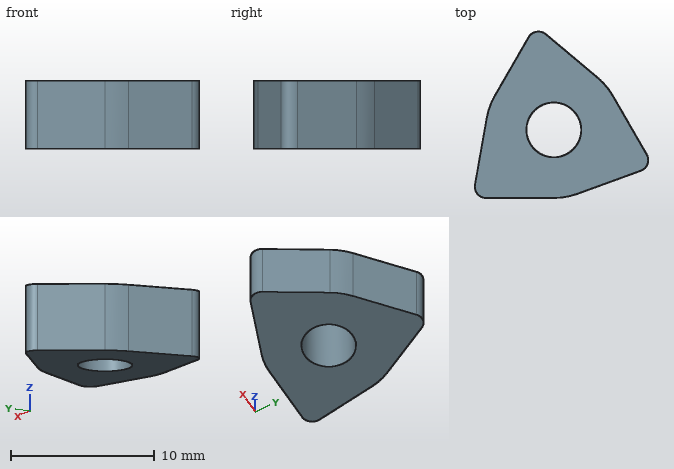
import cadquery as cq
import math

inscribed_diameter = 9.525
thickness = 4.76
hole_diameter = 3.81
nose_radius = 0.8
nose_angle = 80.0
corner_count = 3
first_flank_normal = -90.0

inscribed_radius = inscribed_diameter / 2
corner_pitch = 360.0 / corner_count
flank_turn = 180.0 - nose_angle
waist_turn = corner_pitch - flank_turn
nose_center_distance = (inscribed_radius - nose_radius) / math.cos(math.radians(flank_turn / 2))


def polar(distance, angle):
    """Point at the given distance and angle (degrees) from the insert centre."""
    return (
        distance * math.cos(math.radians(angle)),
        distance * math.sin(math.radians(angle)),
    )


def nose_point(nose_direction, facing):
    """Point on a nose arc where its surface faces the given direction."""
    center_x, center_y = polar(nose_center_distance, nose_direction)
    offset_x, offset_y = polar(nose_radius, facing)
    return (center_x + offset_x, center_y + offset_y)


def insert_outline():
    """Counter-clockwise outline of waist arcs, flanks and rounded noses."""
    outline = cq.Workplane("XY").moveTo(*polar(inscribed_radius, first_flank_normal))
    for index in range(corner_count):
        waist_start = first_flank_normal + index * corner_pitch
        waist_end = waist_start + waist_turn
        next_waist_start = waist_start + corner_pitch
        nose_direction = waist_end + flank_turn / 2

        outline = outline.threePointArc(
            polar(inscribed_radius, waist_start + waist_turn / 2),
            polar(inscribed_radius, waist_end),
        )
        outline = outline.lineTo(*nose_point(nose_direction, waist_end))
        outline = outline.threePointArc(
            nose_point(nose_direction, nose_direction),
            nose_point(nose_direction, next_waist_start),
        )
        outline = outline.lineTo(*polar(inscribed_radius, next_waist_start))
    return outline.close()


def clamping_hole():
    """Straight cylinder through the centre of the insert."""
    return cq.Workplane("XY").circle(hole_diameter / 2).extrude(thickness)


result = insert_outline().extrude(thickness).cut(clamping_hole())